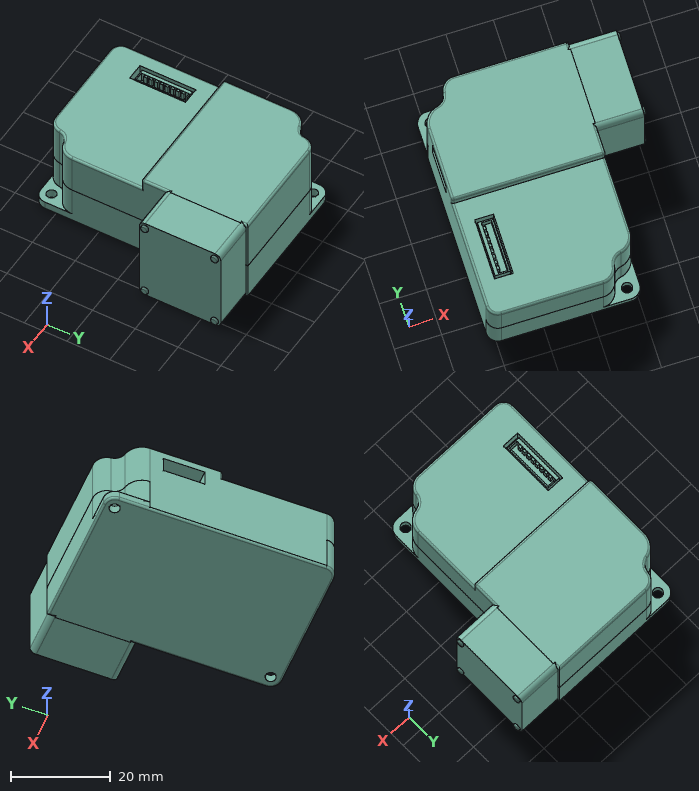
import cadquery as cq
import math

HOUSING_X = 32.4
HOUSING_Y = 50.0
HOUSING_Z = 20.8
HALF_Y = HOUSING_Y / 2
SEAM_Z = 9.15
SHELF_Z = 18.4
STEP_Y = 0.1
CORNER_R = 2.5
EDGE_R = 0.5

TAB_Z = 2.2
HOLE_D = 2.2
HOLE_FROM_SIDE = 2.65
HOLE_FROM_END = 2.5
RELIEF_R = 2.55
BACK_BLEND_R = (4.2, 3.05)
FRONT_BLEND_R = (3.9, 3.25)

SKIRT_T = 1.0

WINDOW_Y_MIN = 4.0
WINDOW_Y_MAX = 13.0
WINDOW_Z_MIN = 14.4
WINDOW_Z_MAX = 18.45
WINDOW_DEPTH = 5.0

BLOCK_X = 10.0
BLOCK_R = 1.35
BLOCK_Y_MIN = 5.55
BLOCK_Y_MAX = 24.6

HEAD_D = 1.7
HEAD_H = 0.5
HEAD_EDGE_R = 0.2

RECESS_X = 3.95
RECESS_Y = 13.05
RECESS_DEPTH = 3.0
RECESS_CENTER_X = 5.35
RECESS_CENTER_Y = -11.0
CONNECTOR_X = 3.2
CONNECTOR_Y = 11.75
CONNECTOR_CENTER_Y = -10.9
RIM_DROP = 0.55
CONNECTOR_H = RECESS_DEPTH - RIM_DROP
FOOT_Y = 0.2
FOOT_H = 0.5
CAVITY_X = 2.05
CAVITY_Y = 11.15
CAVITY_DEPTH = 2.0
CAVITY_SHIFT_X = 0.225
CONTACTS = 8
CONTACT_PITCH = 1.25
CONTACT_X = 0.55
CONTACT_Y = 0.75
CONTACT_DROP = 0.1


def box(x_min, x_max, y_min, y_max, z_min, z_max):
    """Box between the given limits."""
    size = (x_max - x_min, y_max - y_min, z_max - z_min)
    return cq.Workplane("XY").box(*size, centered=False).translate((x_min, y_min, z_min))


def relief_points(side_r, end_r):
    """Points of the S-curve round a tab, as offsets (from the X side, from the Y end).

    The blend rounds side_r and end_r touch the hollow and run tangent into the housing sides.
    """
    hole = (HOLE_FROM_SIDE, HOLE_FROM_END)
    side_reach = RELIEF_R + side_r
    end_reach = RELIEF_R + end_r
    side_y = hole[1] + math.sqrt(side_reach**2 - (side_r - hole[0])**2)
    end_x = hole[0] + math.sqrt(end_reach**2 - (end_r - hole[1])**2)
    side_angle = math.atan2(side_y - hole[1], side_r - hole[0])
    end_angle = math.atan2(end_r - hole[1], end_x - hole[0])

    def on_circle(center, radius, angle):
        return (center[0] + radius * math.cos(angle), center[1] + radius * math.sin(angle))

    side_center = (side_r, side_y)
    side_arc_start = math.pi
    side_arc_stop = math.pi + side_angle
    end_center = (end_x, end_r)
    end_arc_start = math.pi + end_angle
    end_arc_stop = 3 * math.pi / 2
    return [
        (0, side_y),
        on_circle(side_center, side_r, (side_arc_start + side_arc_stop) / 2),
        on_circle(hole, RELIEF_R, side_angle),
        on_circle(hole, RELIEF_R, (side_angle + end_angle) / 2),
        on_circle(hole, RELIEF_R, end_angle),
        on_circle(end_center, end_r, (end_arc_start + end_arc_stop) / 2),
        (end_x, 0),
    ]


def relief_arcs(outline, points):
    """Add the three arcs of the S-curve to an outline that stands on its first point."""
    for middle, end in zip(points[1::2], points[2::2]):
        outline = outline.threePointArc(middle, end)
    return outline


def housing_outline():
    """Rectangle with two round corners and two corners relieved round the tabs."""
    back_left = [(x, HALF_Y - y) for x, y in relief_points(*BACK_BLEND_R)]
    front_right = [(HOUSING_X - x, y - HALF_Y) for x, y in relief_points(*FRONT_BLEND_R)]
    outline = cq.Workplane("XY").moveTo(*back_left[0])
    outline = relief_arcs(outline, back_left)
    outline = outline.lineTo(HOUSING_X, HALF_Y).lineTo(*front_right[0])
    outline = relief_arcs(outline, front_right)
    outline = outline.lineTo(CORNER_R, -HALF_Y)
    outline = outline.radiusArc((0, CORNER_R - HALF_Y), CORNER_R)
    return outline.close()


def block_seat(z_min, z_max):
    """Square housing edge, without rounding, behind the flat top and bottom of the block."""
    flat_y = (BLOCK_Y_MIN + BLOCK_R, BLOCK_Y_MAX - BLOCK_R)
    return box(HOUSING_X - EDGE_R, HOUSING_X, *flat_y, z_min, z_max)


def skirt():
    """Wall below the seam, over the flat of the -X side between its round edges."""
    back_y = HALF_Y - relief_points(*BACK_BLEND_R)[0][1]
    front_y = CORNER_R - HALF_Y
    return box(0, SKIRT_T, front_y, back_y, EDGE_R, SEAM_Z)


def window():
    """Inlet opening that runs in from the -X side."""
    return box(0, WINDOW_DEPTH, WINDOW_Y_MIN, WINDOW_Y_MAX, WINDOW_Z_MIN, WINDOW_Z_MAX)


def connector_recess():
    """Recess in the shelf, wider than the connector all round."""
    top = cq.Workplane("XY", origin=(RECESS_CENTER_X, RECESS_CENTER_Y, SHELF_Z))
    return top.rect(RECESS_X, RECESS_Y).extrude(-RECESS_DEPTH)


def make_upper_housing():
    body = housing_outline().extrude(HOUSING_Z - SEAM_Z).translate((0, 0, SEAM_Z))
    body = body.cut(box(0, HOUSING_X, -HALF_Y, STEP_Y, SHELF_Z, HOUSING_Z))
    shelf_rim = cq.selectors.BoxSelector(
        (-EDGE_R, -HALF_Y - EDGE_R, SHELF_Z - EDGE_R),
        (HOUSING_X + EDGE_R, STEP_Y - EDGE_R, SHELF_Z + EDGE_R),
    )
    step_ends = cq.selectors.BoxSelector(
        (-EDGE_R, STEP_Y - EDGE_R, SHELF_Z + EDGE_R),
        (HOUSING_X + EDGE_R, STEP_Y + EDGE_R, HOUSING_Z - EDGE_R),
    )
    edges = body.faces(">Z").edges().add(body.edges(shelf_rim)).add(body.edges(step_ends))
    body = edges.fillet(EDGE_R)
    body = body.union(block_seat(SEAM_Z, HOUSING_Z)).union(skirt())
    return body.cut(window()).cut(connector_recess())


def make_lower_housing():
    body = housing_outline().extrude(SEAM_Z)
    base = box(0, HOUSING_X, -HALF_Y, HALF_Y, 0, TAB_Z)
    base = base.edges("|Z").edges("<X or (>X and <Y)").fillet(CORNER_R)
    body = body.union(base).faces("<Z").edges().fillet(EDGE_R)
    body = body.union(block_seat(0, SEAM_Z))
    hole_x = HOUSING_X / 2 - HOLE_FROM_SIDE
    hole_y = HALF_Y - HOLE_FROM_END
    holes = cq.Workplane("XY", origin=(HOUSING_X / 2, 0, 0))
    holes = holes.pushPoints([(-hole_x, hole_y), (hole_x, -hole_y)]).circle(HOLE_D / 2).extrude(TAB_Z)
    return body.cut(holes).cut(skirt())


def make_outlet_block(*housings):
    """Block whose round edges run back into the rounded housing edge."""
    x_start = HOUSING_X - EDGE_R
    block = box(x_start, HOUSING_X + BLOCK_X, BLOCK_Y_MIN, BLOCK_Y_MAX, 0, HOUSING_Z)
    block = block.edges("|X").fillet(BLOCK_R)
    for housing in housings:
        block = block.cut(housing)
    return block


def make_screw_head(y, z):
    head = cq.Workplane("YZ", origin=(HOUSING_X + BLOCK_X, y, z)).circle(HEAD_D / 2).extrude(HEAD_H)
    return head.faces(">X").edges().fillet(HEAD_EDGE_R)


def make_connector():
    rim_z = SHELF_Z - RIM_DROP
    top = cq.Workplane("XY", origin=(RECESS_CENTER_X, CONNECTOR_CENTER_Y, rim_z))
    body = top.rect(CONNECTOR_X, CONNECTOR_Y).extrude(-CONNECTOR_H)
    floor = top.workplane(offset=-CONNECTOR_H).center(0, -FOOT_Y / 2)
    body = body.union(floor.rect(CONNECTOR_X, CONNECTOR_Y + FOOT_Y).extrude(FOOT_H))
    cavity = top.center(CAVITY_SHIFT_X, 0).rect(CAVITY_X, CAVITY_Y).extrude(-CAVITY_DEPTH)
    contact_x = CAVITY_SHIFT_X - CAVITY_X / 2 + CONTACT_X / 2
    contacts = top.workplane(offset=-CONTACT_DROP).center(contact_x, 0)
    contacts = contacts.rarray(0.5, CONTACT_PITCH, 1, CONTACTS).rect(CONTACT_X, CONTACT_Y)
    return body.cut(cavity).union(contacts.extrude(CONTACT_DROP - CAVITY_DEPTH))


upper_housing = make_upper_housing()
lower_housing = make_lower_housing()
outlet_block = make_outlet_block(upper_housing, lower_housing)
connector = make_connector()
screw_heads = [
    make_screw_head(y, z)
    for y in (BLOCK_Y_MIN + BLOCK_R, BLOCK_Y_MAX - BLOCK_R)
    for z in (BLOCK_R, HOUSING_Z - BLOCK_R)
]

result = cq.Compound.makeCompound(
    [
        upper_housing.val(),
        lower_housing.val(),
        outlet_block.val(),
        connector.val(),
        *[head.val() for head in screw_heads],
    ]
)